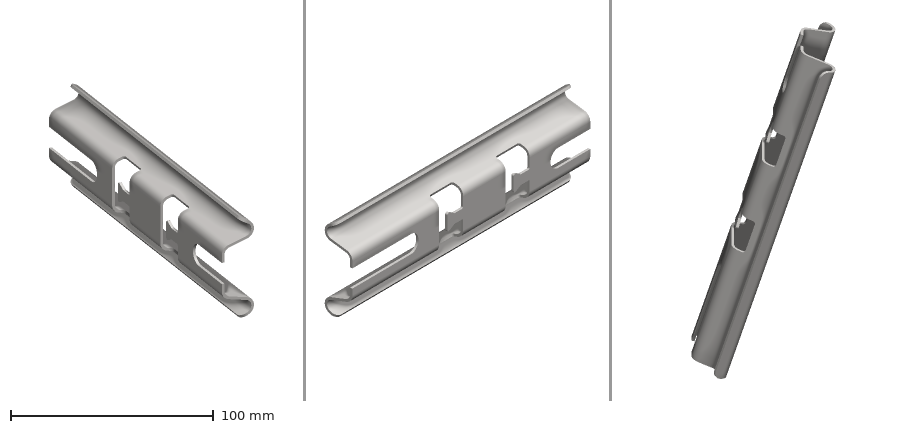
import cadquery as cq
import math

length = 180.0
depth = 18.0
height = 55.0
thickness = 1.5

outer_bend_radius = 5.0
inner_bend_radius = outer_bend_radius - thickness
web_half_flat = 9.9
wall_slope = 15.0
lip_slope = 28.0
lip_corner_radius = 4.0

slot_width = 11.5
left_slot_length = 50.0
right_slot_length = 30.0

window_left_edges = [-24.3, 26.0]
window_width = 18.2
window_climb = 3.2
window_corner_radius = 1.5
tab_length = 12.0
tab_neck_width = 6.1
tab_head_length = 5.4
tab_flare = 28.0
tab_corner_radius = 1.0
tab_root_radius = 0.9


def polar(centre, radius, angle):
    """Point at an angle in degrees around a centre, in (Y, Z)."""
    turn = math.radians(angle)
    return (centre[0] + radius * math.cos(turn), centre[1] + radius * math.sin(turn))


def half_profile():
    """Upper half of the cross-section: web, bend, side wall, curl and lip."""
    slope = math.radians(wall_slope)
    radius_sum = outer_bend_radius + inner_bend_radius
    bend_centre = (outer_bend_radius, web_half_flat)
    curl_y = depth - outer_bend_radius
    wall_length = (curl_y - bend_centre[0] + radius_sum * math.sin(slope)) / math.cos(slope)
    curl_z = web_half_flat + radius_sum * math.cos(slope) + wall_length * math.sin(slope)
    curl_centre = (curl_y, curl_z)

    bend_end = 90 + wall_slope
    bend_middle = (180 + bend_end) / 2
    curl_start = wall_slope - 90
    curl_end = 90 - lip_slope
    curl_middle = (curl_start + curl_end) / 2

    lip_turn = math.radians(lip_slope)
    curl_top = polar(curl_centre, outer_bend_radius, curl_end)[1]
    lip_length = (height / 2 - curl_top) / math.sin(lip_turn)
    lip_angle = 180 - lip_slope

    def bend(radius, angle):
        return polar(bend_centre, radius, angle)

    def curl(radius, angle):
        return polar(curl_centre, radius, angle)

    return (
        cq.Workplane("YZ")
        .moveTo(0, 0)
        .lineTo(0, web_half_flat)
        .threePointArc(bend(outer_bend_radius, bend_middle), bend(outer_bend_radius, bend_end))
        .lineTo(*curl(inner_bend_radius, curl_start))
        .threePointArc(curl(inner_bend_radius, curl_middle), curl(inner_bend_radius, curl_end))
        .lineTo(*polar(curl(inner_bend_radius, curl_end), lip_length, lip_angle))
        .lineTo(*polar(curl(outer_bend_radius, curl_end), lip_length, lip_angle))
        .lineTo(*curl(outer_bend_radius, curl_end))
        .threePointArc(curl(outer_bend_radius, curl_middle), curl(outer_bend_radius, curl_start))
        .lineTo(*bend(inner_bend_radius, bend_end))
        .threePointArc(bend(inner_bend_radius, bend_middle), bend(inner_bend_radius, 180))
        .lineTo(thickness, 0)
        .close()
    )


def rail():
    """Full rail: the upper half extruded, its lip corners rounded, then mirrored."""
    upper = half_profile().extrude(length / 2, both=True)
    run = math.cos(math.radians(lip_slope))
    rise = math.sin(math.radians(lip_slope))
    upper = upper.edges(f"|(0, {rise}, {run})").fillet(lip_corner_radius)
    return upper.union(upper.mirror("XY"))


def slot_cutter(end_x, inward, slot_length):
    """Round-ended slot opening at one end of the rail."""
    straight = slot_length - slot_width / 2
    start_x = end_x + inward * straight
    channel = (
        cq.Workplane("XZ")
        .center(end_x + inward * straight / 2, 0)
        .rect(straight, slot_width)
        .extrude(-depth / 2)
    )
    round_end = cq.Workplane("XZ").center(start_x, 0).circle(slot_width / 2).extrude(-depth / 2)
    return channel.union(round_end)


def window_tab(right_x):
    """Flared tab joined to a strip of web beyond the window's right edge, as a prism along Y."""
    tip_x = right_x - tab_length
    neck_x = tip_x + tab_head_length
    neck_z = tab_neck_width / 2
    tip_z = neck_z + tab_head_length * math.tan(math.radians(tab_flare))
    strip_x = right_x + tab_length
    strip_z = height / 2
    outline = [(tip_x, tip_z), (neck_x, neck_z), (right_x, neck_z), (right_x, strip_z), (strip_x, strip_z)]
    mirrored = [(x, -z) for x, z in reversed(outline)]
    tab = cq.Workplane("XZ").polyline(outline + mirrored).close().extrude(depth, both=True)
    tab = tab.edges("|Y").edges("<X").fillet(tab_corner_radius)
    roots = cq.selectors.BoxSelector(
        (right_x - tab_root_radius, -depth, -tab_neck_width),
        (right_x + tab_root_radius, depth, tab_neck_width),
    )
    return tab.edges("|Y").edges(roots).fillet(tab_root_radius)


def window_cutter(left_x):
    """Window across the web and into both walls, leaving the flared tab."""
    middle_x = left_x + window_width / 2
    opening = (
        cq.Workplane("XY")
        .center(middle_x, 0)
        .rect(window_width, 2 * outer_bend_radius)
        .extrude(height / 2, both=True)
    )
    slope = math.radians(wall_slope)
    wall_start = polar((outer_bend_radius, web_half_flat), outer_bend_radius, 90 + wall_slope)
    wall_plane = cq.Plane(
        origin=(middle_x, *wall_start),
        xDir=(1, 0, 0),
        normal=(0, -math.sin(slope), math.cos(slope)),
    )
    upper_wall_cut = (
        cq.Workplane(wall_plane)
        .sketch()
        .rect(window_width, 2 * window_climb)
        .vertices()
        .fillet(window_corner_radius)
        .finalize()
        .extrude(2 * thickness, both=True)
    )
    opening = opening.union(upper_wall_cut).union(upper_wall_cut.mirror("XY"))
    return opening.cut(window_tab(left_x + window_width))


result = rail()
result = result.cut(slot_cutter(-length / 2, 1, left_slot_length))
result = result.cut(slot_cutter(length / 2, -1, right_slot_length))
for left_x in window_left_edges:
    result = result.cut(window_cutter(left_x))